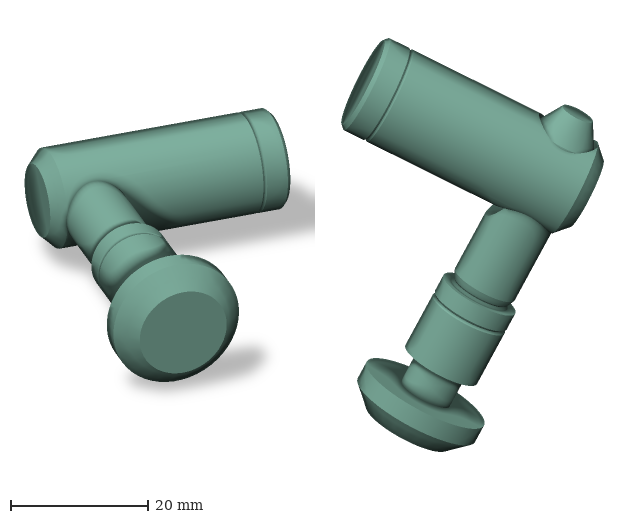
import cadquery as cq
import math


barrel_radius = 7.5
barrel_front_y = -6.75
barrel_back_y = 30.0
front_chamfer = 2.0
back_chamfer = 0.6
barrel_groove_depth = 0.3
barrel_groove_y = barrel_back_y - 4.1

tip_x = -10.2
shaft_end_x = 19.15
collar_start_x = 20.85
collar_end_x = 32.95
head_start_x = 37.95
head_end_x = 43.8

tip_radius = 2.5
shaft_radius = 4.95
collar_radius = 5.95
neck_radius = 4.0
head_radius = 9.75

tip_half_angle = math.radians(30)
head_chamfer = 3.0
shaft_chamfer_length = 1.1
shaft_chamfer_drop = 0.5
undercut_depth = 0.2
collar_groove_depth = 0.35
collar_groove_x = collar_start_x + 3.05

seat_x = 3.4
seat_radius = 6.4
seat_margin = 1.0


def v_groove(position, radius, depth):
    """Points (along, radius) of a 45 degree V groove turned into a cylinder."""
    return [
        (position - depth, radius),
        (position, radius - depth),
        (position + depth, radius),
    ]


def make_bolt():
    """Turned bolt from its conical tip to its chamfered head, with the conical seat cut in.

    A 45 degree undercut runs between the shaft chamfer and the collar face.
    """
    tip_length = (shaft_radius - tip_radius) / math.tan(tip_half_angle)
    undercut_x = shaft_end_x + shaft_chamfer_length
    undercut_radius = shaft_radius - shaft_chamfer_drop
    undercut_floor = undercut_radius - undercut_depth
    undercut_bottom_x = undercut_x + undercut_depth
    undercut_end_radius = undercut_floor + collar_start_x - undercut_bottom_x
    profile = [
        (tip_x, 0),
        (tip_x, tip_radius),
        (tip_x + tip_length, shaft_radius),
        (shaft_end_x, shaft_radius),
        (undercut_x, undercut_radius),
        (undercut_bottom_x, undercut_floor),
        (collar_start_x, undercut_end_radius),
        (collar_start_x, collar_radius),
        *v_groove(collar_groove_x, collar_radius, collar_groove_depth),
        (collar_end_x, collar_radius),
        (collar_end_x, neck_radius),
        (head_start_x, neck_radius),
        (head_start_x, head_radius),
        (head_end_x - head_chamfer, head_radius),
        (head_end_x, head_radius - head_chamfer),
        (head_end_x, 0),
    ]
    turned = cq.Workplane("XY").polyline(profile).close().revolve(360, (0, 0, 0), (1, 0, 0))
    return turned.cut(make_seat())


def make_seat():
    """Cone along Y that narrows into the shaft, wider than its rim by a margin above the shaft."""
    top_radius = seat_radius + seat_margin
    top_y = shaft_radius + seat_margin
    cone = cq.Solid.makeCone(
        top_radius, 0, top_radius, cq.Vector(seat_x, top_y, 0), cq.Vector(0, -1, 0)
    )
    return cq.Workplane(cone)


def make_barrel():
    """Chamfered, grooved barrel with a cross bore that fits the bolt shaft."""
    groove = v_groove(barrel_groove_y, barrel_radius, barrel_groove_depth)
    profile = [
        (0, barrel_front_y),
        (barrel_radius - front_chamfer, barrel_front_y),
        (barrel_radius, barrel_front_y + front_chamfer),
        *[(radius, y) for y, radius in groove],
        (barrel_radius, barrel_back_y - back_chamfer),
        (barrel_radius - back_chamfer, barrel_back_y),
        (0, barrel_back_y),
    ]
    turned = cq.Workplane("XY").polyline(profile).close().revolve(360, (0, 0, 0), (0, 1, 0))
    bore = cq.Workplane("YZ").circle(shaft_radius).extrude(barrel_radius, both=True)
    return turned.cut(bore)


barrel = make_barrel()
bolt = make_bolt()

result = cq.Compound.makeCompound([barrel.val(), bolt.val()])